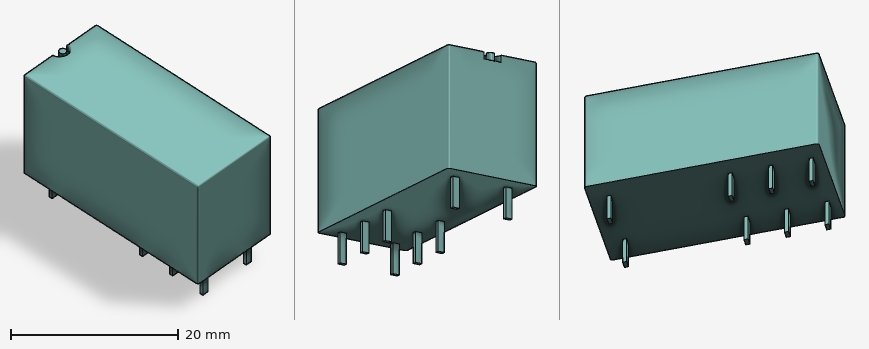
import cadquery as cq

LENGTH = 29.0
WIDTH = 12.7
TOTAL_HEIGHT = 19.6
PIN_LENGTH = 3.9
HEIGHT = TOTAL_HEIGHT - PIN_LENGTH
EDGE_RADIUS = 0.3

NOTCH_RADIUS = 1.2
NOTCH_DEPTH = 1.0
POST_RADIUS = 0.5

PIN_THICKNESS = 0.5
PIN_WIDTH = 0.9
ROW_SPACING = 7.5
FIRST_PIN_INSET = 2.5
CONTACT_START = 15.0
CONTACT_PITCH = 5.0
CONTACTS_PER_ROW = 3

END_X = -LENGTH / 2
NOTCH_FLOOR = HEIGHT - NOTCH_DEPTH


def make_housing():
    """Block with the notch cut out, then its upright and top edges rounded."""
    block = cq.Workplane("XY").box(LENGTH, WIDTH, HEIGHT, centered=(True, True, False))
    block = block.edges("|Z").fillet(EDGE_RADIUS)
    notch = (
        cq.Workplane("XY", origin=(END_X, 0, NOTCH_FLOOR))
        .circle(NOTCH_RADIUS)
        .extrude(NOTCH_DEPTH)
    )
    return block.cut(notch).faces(">Z").edges().fillet(EDGE_RADIUS)


def make_post():
    """Round post tangent to the -X end face, rising from the notch floor to the top."""
    return (
        cq.Workplane("XY", origin=(END_X + POST_RADIUS, 0, NOTCH_FLOOR))
        .circle(POST_RADIUS)
        .extrude(NOTCH_DEPTH)
    )


def make_pins():
    """Coil pin and three contact pins in each row, hanging below the housing."""
    coil_x = END_X + FIRST_PIN_INSET
    contact_xs = [coil_x + CONTACT_START + i * CONTACT_PITCH for i in range(CONTACTS_PER_ROW)]
    pin_xs = [coil_x] + contact_xs
    row_ys = (-ROW_SPACING / 2, ROW_SPACING / 2)
    return (
        cq.Workplane("XY")
        .pushPoints([(x, y) for x in pin_xs for y in row_ys])
        .rect(PIN_THICKNESS, PIN_WIDTH)
        .extrude(-PIN_LENGTH)
    )


result = make_housing().union(make_post()).union(make_pins())